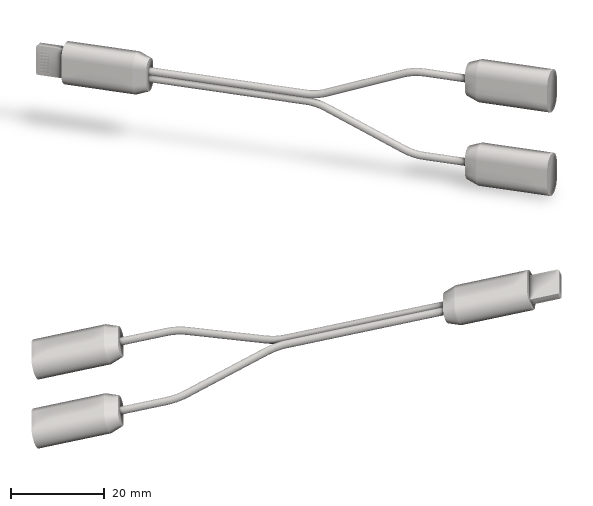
import cadquery as cq
import math

GRIP_LENGTH = 19.13
GRIP_THICKNESS = 5.64
GRIP_HEIGHT = 9.57
TAPER_LENGTH = 2.82
TAPER_END_THICKNESS = 3.94
TAPER_END_HEIGHT = 7.46

TIP_LENGTH = 6.55
TIP_THICKNESS = 1.75
TIP_HEIGHT = 6.74
TIP_EDGE_RADIUS = 0.4

CONTACT_COUNT = 8
CONTACT_PITCH = 0.7
CONTACT_HEIGHT = 0.42
CONTACT_LENGTH = 1.9
CONTACT_SETBACK = 1.0
CONTACT_DEPTH = 0.1

CORD_DIAMETER = 1.7
CORD_PITCH = 1.62
BEND_RADIUS = 12.6
FUSED_LENGTH = 35.75
SPREAD_LENGTH = 27.0

TOTAL_LENGTH = 117.73
SOCKET_SPACING = 19.13

TIP_END = TIP_LENGTH
PLUG_END = TIP_END + GRIP_LENGTH
SPREAD_START = PLUG_END + FUSED_LENGTH
SPREAD_END = SPREAD_START + SPREAD_LENGTH
SOCKET_START = TOTAL_LENGTH - GRIP_LENGTH


def make_grip(blunt_x, direction):
    """Stadium-section grip from its blunt end, tapering at the end that `direction` points to."""
    straight_length = GRIP_LENGTH - TAPER_LENGTH
    section = cq.Workplane("YZ").slot2D(GRIP_HEIGHT, GRIP_THICKNESS, 90)
    straight = section.extrude(direction * straight_length)
    taper = (
        cq.Workplane("YZ", origin=(direction * straight_length, 0, 0))
        .slot2D(GRIP_HEIGHT, GRIP_THICKNESS, 90)
        .workplane(offset=direction * TAPER_LENGTH)
        .slot2D(TAPER_END_HEIGHT, TAPER_END_THICKNESS, 90)
        .loft(ruled=True)
    )
    return straight.union(taper, clean=False).translate((blunt_x, 0, 0))


def make_tip():
    """Flat tip with a rounded free end and a row of contact recesses."""
    tip = (
        cq.Workplane("XY")
        .box(TIP_LENGTH, TIP_THICKNESS, TIP_HEIGHT, centered=(False, True, True))
        .faces("<X")
        .edges("|Y")
        .fillet(TIP_EDGE_RADIUS)
    )
    contacts = (
        cq.Workplane("XZ", origin=(CONTACT_SETBACK + CONTACT_LENGTH / 2, -TIP_THICKNESS / 2, 0))
        .rarray(1, CONTACT_PITCH, 1, CONTACT_COUNT)
        .rect(CONTACT_LENGTH, CONTACT_HEIGHT)
        .extrude(-CONTACT_DEPTH)
    )
    return tip.cut(contacts)


def make_plug():
    """Plug: the contact tip and its grip, tapering toward the cable."""
    return make_grip(TIP_END, 1).union(make_tip(), clean=False)


def make_socket(side):
    """Socket on the +Z or -Z side, tapering back toward the cable."""
    return make_grip(TOTAL_LENGTH, -1).translate((0, 0, side * SOCKET_SPACING / 2))


def bend_angle(run, rise):
    """Slope of the straight line tangent to two equal, opposite bends joining level ends."""
    reach = math.hypot(run, rise - 2 * BEND_RADIUS)
    return math.asin(2 * BEND_RADIUS / reach) - math.atan2(2 * BEND_RADIUS - rise, run)


def make_cord(side):
    """One cord, swept from the plug along an S-bend to its socket."""
    near_z = CORD_PITCH / 2
    far_z = SOCKET_SPACING / 2
    angle = bend_angle(SPREAD_LENGTH, far_z - near_z)
    bend_run = BEND_RADIUS * math.sin(angle)
    bend_rise = BEND_RADIUS * (1 - math.cos(angle))
    half_run = BEND_RADIUS * math.sin(angle / 2)
    half_rise = BEND_RADIUS * (1 - math.cos(angle / 2))
    path = (
        cq.Workplane("XZ")
        .moveTo(PLUG_END, side * near_z)
        .lineTo(SPREAD_START, side * near_z)
        .threePointArc(
            (SPREAD_START + half_run, side * (near_z + half_rise)),
            (SPREAD_START + bend_run, side * (near_z + bend_rise)),
        )
        .lineTo(SPREAD_END - bend_run, side * (far_z - bend_rise))
        .threePointArc(
            (SPREAD_END - half_run, side * (far_z - half_rise)),
            (SPREAD_END, side * far_z),
        )
        .lineTo(SOCKET_START, side * far_z)
    )
    section = cq.Workplane("YZ", origin=(PLUG_END, 0, side * near_z)).circle(CORD_DIAMETER / 2)
    return section.sweep(path)


def make_cable():
    """Cable: both cords fused into one body."""
    return make_cord(1).union(make_cord(-1), clean=False)


plug = make_plug()
cable = make_cable()
sockets = [make_socket(side) for side in (1, -1)]

result = cq.Compound.makeCompound([plug.val(), cable.val(), *[socket.val() for socket in sockets]])